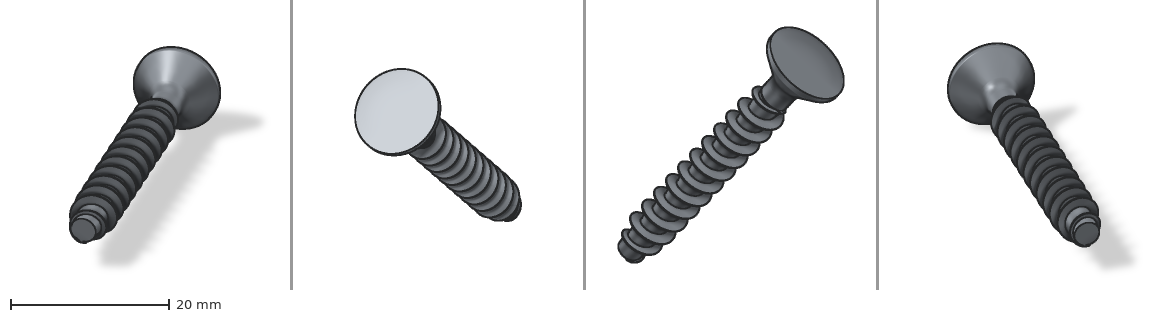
import cadquery as cq
import math

length = 40.0

head_radius = 5.65
rim_length = 0.85
rim_round = 0.3
cone_angle = math.radians(45)
neck_round = 2.4
shank_radius = 2.05
shank_end = 7.4

thread_turns = 12.25
thread_length = 33.0
pitch = thread_length / thread_turns
thread_radius = 3.0
start_radius = 2.3
end_radius = 1.8
lead_in_turns = 1.0
run_out_turns = 1.5
crest_half_width = 0.1
flank_slope = 0.28

core_high_radius = 1.9
core_low_radius = 1.7
tip_radius = 1.6
neck_taper_turns = 1.0
tip_taper_turns = 1.0

first_turn = -1.5
last_turn = thread_turns + 0.25
steps_per_turn = 24


def make_head():
    """Revolved head, rounded neck and plain shank."""
    half_angle = cone_angle / 2
    rim_tangent = rim_round * math.tan(half_angle)
    rim_start = rim_length - rim_tangent
    rim_mid = (
        head_radius - rim_round * (1 - math.cos(half_angle)),
        -(rim_start + rim_round * math.sin(half_angle)),
    )
    rim_stop = (
        head_radius - rim_round * (1 - math.cos(cone_angle)),
        -(rim_start + rim_round * math.sin(cone_angle)),
    )
    cone_end_radius = shank_radius + neck_round * (1 - math.cos(cone_angle))
    cone_end = rim_length + (head_radius - cone_end_radius) / math.tan(cone_angle)
    neck_end = cone_end + neck_round * math.sin(cone_angle)
    neck_mid = (
        shank_radius + neck_round * (1 - math.cos(half_angle)),
        -(neck_end - neck_round * math.sin(half_angle)),
    )
    return (
        cq.Workplane("XY")
        .lineTo(head_radius, 0)
        .lineTo(head_radius, -rim_start)
        .threePointArc(rim_mid, rim_stop)
        .lineTo(cone_end_radius, -cone_end)
        .threePointArc(neck_mid, (shank_radius, -neck_end))
        .lineTo(shank_radius, -shank_end)
        .lineTo(0, -shank_end)
        .close()
        .revolve(360, (0, 0, 0), (0, 1, 0))
    )


def blend(start, end, fraction):
    """Value between start and end, held constant outside the 0 to 1 range."""
    return start + (end - start) * min(max(fraction, 0), 1)


def tip_fraction(turn, span):
    """Progress over the last turns of the thread: 0 at the start of the span, 1 at the tip."""
    return 1 - (thread_turns - turn) / span


def crest_radius(turn):
    rising = blend(start_radius, thread_radius, turn / lead_in_turns)
    falling = blend(thread_radius, end_radius, tip_fraction(turn, run_out_turns))
    return min(rising, falling)


def low_radius(turn):
    neck = blend(shank_radius, core_low_radius, turn / neck_taper_turns)
    return blend(neck, tip_radius, tip_fraction(turn, tip_taper_turns))


def high_radius(turn):
    neck = blend(shank_radius, core_high_radius, turn / neck_taper_turns)
    return blend(neck, tip_radius, tip_fraction(turn, tip_taper_turns))


def place(turn, offset, radius):
    """Point after the given number of turns, offset toward the tip."""
    angle = math.pi + 2 * math.pi * turn
    axial = length - thread_length + pitch * turn + offset
    return cq.Vector(radius * math.cos(angle), -axial, radius * math.sin(angle))


def axis_point(turn):
    return place(turn, 0, 0)


def head_side_root(turn):
    height = crest_radius(turn) - low_radius(turn)
    return place(turn, -crest_half_width - flank_slope * height, low_radius(turn))


def head_side_crest(turn):
    return place(turn, -crest_half_width, crest_radius(turn))


def tip_side_crest(turn):
    return place(turn, crest_half_width, crest_radius(turn))


def tip_side_root(turn):
    height = crest_radius(turn) - high_radius(turn)
    return place(turn, crest_half_width + flank_slope * height, high_radius(turn))


def next_root(turn):
    return head_side_root(turn + 1)


def next_axis_point(turn):
    return axis_point(turn + 1)


thread_outline = [head_side_root, head_side_crest, tip_side_crest, tip_side_root, next_root]


def winding_edge(curve, start):
    """One turn of a curve."""
    points = [curve(start + step / steps_per_turn) for step in range(steps_per_turn + 1)]
    return cq.Edge.makeSpline(points)


def winding_faces(curves, start):
    """One turn of the faces between neighbouring curves."""
    edges = [winding_edge(curve, start) for curve in curves]
    return [cq.Face.makeRuledSurface(a, b) for a, b in zip(edges, edges[1:])]


def cap_face(turn):
    """Flat radial face of one thread section."""
    corners = [axis_point(turn)]
    corners += [curve(turn) for curve in thread_outline]
    corners.append(next_axis_point(turn))
    return cq.Face.makeFromWires(cq.Wire.makePolygon(corners, close=True))


def make_thread():
    """Threaded core, trimmed flush with the end of the shank and the tip."""
    faces = []
    for count in range(round(last_turn - first_turn)):
        faces += winding_faces(thread_outline, first_turn + count)
    for turn in (first_turn, last_turn):
        faces += winding_faces([axis_point, head_side_root], turn)
        faces.append(cap_face(turn))
    blank = cq.Solid.makeSolid(cq.Shell.makeShell(faces)).fix()
    threaded_zone = (
        cq.Workplane("XZ", origin=(0, -shank_end, 0))
        .circle(head_radius)
        .extrude(length - shank_end)
    )
    return threaded_zone.intersect(cq.Workplane(blank))


result = cq.Workplane(make_head().union(make_thread()).solids().val())